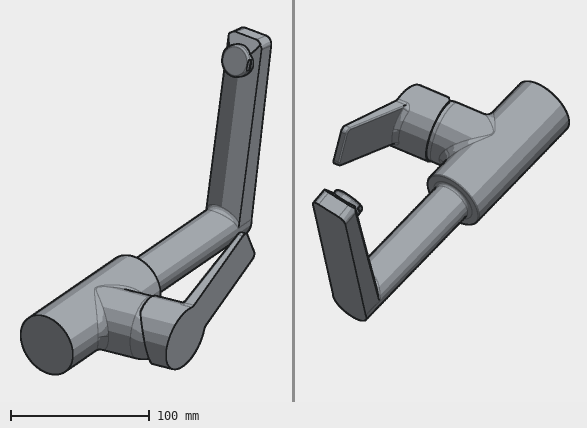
import cadquery as cq
import math

total_length = 252.5

body_radius = 23.5
body_length = 106.5
body_edge_round = 0.8
tube_radius = 15.1
tube_root_round = 2.3

arm_tilt = 10
arm_half_width = 15.0
arm_length = 144.4
arm_root_depth = 15.6
arm_tip_depth = 11.9
arm_foot = -10.0
arm_bulge = 7.8
arm_corner_radius = 5.8
arm_bend_round = 4.0
arm_tip_slope = 61

outlet_radius = 11.9
outlet_length = 12.5
outlet_round = 1.5
outlet_tilt = 20
outlet_y = 227.2
outlet_z = 129.5
flat_half_width = 11.0
flat_depth = 3.8

valve_y = 54.5
valve_tilt = 10
branch_radius = 23.2
branch_length = 42.2
branch_blend = 6.0
dome_radius = 21.5

handle_turn = 28.5
cap_radius = 24.2
cap_start = 45.2
relief_edge = -1.3
relief_slope = 0.5
end_face_distance = 75.5
end_face_slope = 0.17
lever_reach = 86.8
lever_top = 17.7
lever_bottom = -14.0
lever_root_thickness = 9.8
lever_tip_thickness = 4.5
lever_corner_radius = 4.0
lever_root_round = 4.0
lever_edge_round = 1.0

trim_size = 504.8

arm_back_y = total_length - arm_length * math.sin(math.radians(arm_tilt))
arm_plane = cq.Plane((0, arm_back_y, 0)).rotated((-arm_tilt, 0, 0))
arm_side_plane = cq.Plane.named("YZ", (0, arm_back_y, 0)).rotated((0, 0, -arm_tilt))
outlet_plane = cq.Plane.named("XZ", (0, outlet_y, outlet_z)).rotated((-outlet_tilt, 0, 0))

handle_frame = cq.Plane((0, valve_y, 0)).rotated((0, 0, valve_tilt)).rotated((handle_turn, 0, 0))


def y_cylinder(radius, end):
    """Cylinder on the body axis, from the foot of the body up to y = end."""
    return cq.Workplane("XZ").circle(radius).extrude(-end)


def in_place(part):
    """Move a part from the handle frame, where it is built about the origin, to the valve."""
    return cq.Workplane(part.val().moved(handle_frame.location))


def make_body():
    """Body cylinder with its valve branch, domed under the handle."""
    body = y_cylinder(body_radius, body_length).faces(">Y").edges().fillet(body_edge_round)
    branch = cq.Workplane("YZ").circle(branch_radius).extrude(branch_length + dome_radius)
    around_joint = cq.selectors.BoxSelector(
        (0, valve_y - 2 * body_radius, -body_radius),
        (branch_radius, valve_y + 2 * body_radius, body_radius),
    )
    joined = body.union(in_place(branch)).edges(around_joint).fillet(branch_blend)
    return joined.faces(">X").edges().fillet(dome_radius)


def arm_section(work, height):
    """Cross-section of the arm: flat back, two flat sides and a bulged inner side."""
    depth = arm_root_depth + (arm_tip_depth - arm_root_depth) * height / arm_length
    return (
        work.moveTo(-arm_half_width, 0)
        .lineTo(arm_half_width, 0)
        .lineTo(arm_half_width, -depth)
        .threePointArc((0, -depth - arm_bulge), (-arm_half_width, -depth))
        .close()
    )


def make_arm():
    """Tapering arm above the tube axis, with rounded tip corners and the bulge sloped off."""
    foot = arm_section(cq.Workplane(arm_plane).workplane(offset=arm_foot), arm_foot)
    arm = arm_section(foot.workplane(offset=arm_length - arm_foot), arm_length).loft(ruled=True)
    arm = arm.faces(">Z").edges("#X").fillet(arm_corner_radius)
    slope_depth = 2 * arm_bulge
    slope_drop = slope_depth * math.tan(math.radians(arm_tip_slope))
    slope = (
        cq.Workplane(arm_side_plane)
        .moveTo(-arm_tip_depth, arm_length)
        .line(-slope_depth, 0)
        .line(0, -slope_drop)
        .close()
        .extrude(arm_half_width, both=True)
    )
    below_axis = cq.Workplane("XY").rect(trim_size, 2 * trim_size).extrude(-trim_size)
    return arm.cut(slope).cut(below_axis)


def make_outlet():
    """Round outlet with a rounded rim and two spanner flats."""
    outlet = cq.Workplane(outlet_plane).circle(outlet_radius).extrude(-outlet_length)
    outlet = outlet.faces("<Y").edges().fillet(outlet_round)
    for side in (-1, 1):
        flat = (
            cq.Workplane(outlet_plane)
            .center(side * (flat_half_width + outlet_radius), 0)
            .rect(2 * outlet_radius, 2 * outlet_radius)
            .extrude(-flat_depth)
        )
        outlet = outlet.cut(flat)
    return outlet


def make_tube():
    """Spout tube, mitred flush with the back of the arm."""
    behind_arm = (
        cq.Workplane(arm_plane)
        .center(0, trim_size / 2)
        .rect(trim_size, trim_size)
        .extrude(trim_size / 2, both=True)
    )
    return y_cylinder(tube_radius, arm_back_y + 2 * tube_radius).cut(behind_arm)


def end_face_at(height):
    """Distance of the handle's outer face from the body axis, at a height in the handle frame."""
    return end_face_distance + end_face_slope * height


def make_cap():
    """Handle cap: a cylinder with a slanted relief at the back and a sloping end face."""
    above = 2 * cap_radius
    below = -above
    side = (
        cq.Workplane("XY")
        .moveTo(cap_start, above)
        .lineTo(cap_start, relief_edge)
        .lineTo(cap_start + relief_slope * (relief_edge - below), below)
        .lineTo(end_face_at(below), below)
        .lineTo(end_face_at(above), above)
        .close()
        .extrude(above, both=True)
    )
    return cq.Workplane("YZ").circle(cap_radius).extrude(end_face_at(above)).intersect(side)


def make_lever():
    """Tapering lever with rounded tip corners, flush with the end face of the cap."""
    tip = end_face_at(lever_reach)
    lever = (
        cq.Workplane("XY", origin=(0, 0, lever_bottom))
        .moveTo(end_face_distance, 0)
        .lineTo(tip, lever_reach)
        .lineTo(tip - lever_tip_thickness, lever_reach)
        .lineTo(end_face_distance - lever_root_thickness, 0)
        .close()
        .extrude(lever_top - lever_bottom)
    )
    lever = lever.faces(">Y").edges("|X").fillet(lever_corner_radius)
    mean_thickness = (lever_root_thickness + lever_tip_thickness) / 2
    middle = lever_reach / 2
    inner_face = cq.selectors.NearestToPointSelector((end_face_at(middle) - mean_thickness, middle, 0))
    return lever.faces(inner_face).edges("not <Y").fillet(lever_edge_round)


def make_handle():
    """Cap and lever, blended where the lever leaves the round side of the cap."""
    around_root = cq.selectors.BoxSelector(
        (cap_start + lever_root_round, cap_radius / 2, -cap_radius),
        (end_face_at(cap_radius), cap_radius, cap_radius),
    )
    return make_cap().union(make_lever()).edges(around_root).fillet(lever_root_round)


def make_spout():
    """Tube and arm, blended inside the bend."""
    inside_bend = cq.selectors.BoxSelector(
        (-tube_radius / 2, arm_back_y - 2 * tube_radius, tube_radius / 2),
        (tube_radius / 2, arm_back_y, tube_radius),
    )
    return make_tube().union(make_arm()).edges(inside_bend).fillet(arm_bend_round)


def make_tap():
    """Body and spout with a blend where the tube enters the body, plus outlet and handle."""
    around_tube_root = cq.selectors.BoxSelector(
        (-tube_radius, body_length - tube_root_round, -tube_radius),
        (tube_radius, body_length + tube_root_round, tube_radius),
    )
    tap = make_body().union(make_spout())
    tap = tap.edges(around_tube_root).fillet(tube_root_round)
    return tap.union(make_outlet()).union(in_place(make_handle()))


result = make_tap()